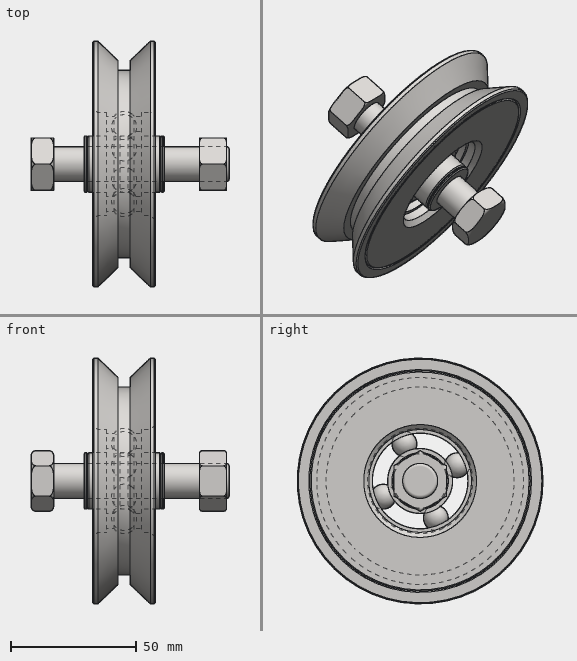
import cadquery as cq
import math


WHEEL_DIAMETER = 98
WHEEL_WIDTH = 25.0
EDGE_CHAMFER = 0.5
RIM_WIDTH = 2.1
FLANK_WIDTH = 8.0
FLANK_DROP = 7.7
GROOVE_BOTTOM_DIAMETER = 75.0
FACE_GROOVE_DIAMETER = 87.8
MOUTH_DIAMETER = 45.0
RECESS_DIAMETER = 41.0
OUTER_RACE_DIAMETER = 38.0

BEARING_WIDTH = 14.0
INNER_RACE_DIAMETER = 26.0
BALL_DIAMETER = 10.0
BALL_PITCH_DIAMETER = (INNER_RACE_DIAMETER + OUTER_RACE_DIAMETER) / 2
BALL_COUNT = 4
FIRST_BALL_ANGLE = 23

SLEEVE_DIAMETER = 22.5
SLEEVE_LENGTH = 32.0
SLEEVE_GROOVE_INSET = 1.5

SHANK_DIAMETER = 14.0
HEX_ACROSS_FLATS = 21.0
HEAD_OUTER_X = -37.0
HEAD_HEIGHT = 9.0
HEAD_CORNER_RADIUS = 2.0
BOLT_LENGTH = 79.0
TIP_RADIUS = 1.3
NUT_INNER_X = 30.0
NUT_HEIGHT = 10.9
NUT_CORNER_RADIUS = 1.3

HEX_ACROSS_CORNERS = HEX_ACROSS_FLATS / math.cos(math.radians(30))


def revolve_about_x(profile):
    """Turn an XY profile, with Y as the radius, into a solid of revolution."""
    return profile.revolve(360, (0, 0, 0), (1, 0, 0))


def cylinder(diameter, start_x, length):
    return cq.Workplane("YZ", origin=(start_x, 0, 0)).circle(diameter / 2).extrude(length)


def ball_track():
    """Ring swept by the balls, which cuts the groove of both races."""
    profile = cq.Workplane("XY").center(0, BALL_PITCH_DIAMETER / 2).circle(BALL_DIAMETER / 2)
    return profile.revolve(360, (0, -BALL_PITCH_DIAMETER / 2, 0), (1, -BALL_PITCH_DIAMETER / 2, 0))


def wheel_blank():
    """Rim with a V belt groove, bored to the outer race diameter."""
    half_width = WHEEL_WIDTH / 2
    rim_radius = WHEEL_DIAMETER / 2
    bore_radius = OUTER_RACE_DIAMETER / 2
    flank_top_x = half_width - RIM_WIDTH
    flank_bottom_x = flank_top_x - FLANK_WIDTH
    profile = (
        cq.Workplane("XY")
        .moveTo(-half_width, bore_radius)
        .lineTo(-half_width, rim_radius - EDGE_CHAMFER)
        .lineTo(-half_width + EDGE_CHAMFER, rim_radius)
        .lineTo(-flank_top_x, rim_radius)
        .lineTo(-flank_bottom_x, rim_radius - FLANK_DROP)
        .lineTo(-flank_bottom_x, GROOVE_BOTTOM_DIAMETER / 2)
        .lineTo(flank_bottom_x, GROOVE_BOTTOM_DIAMETER / 2)
        .lineTo(flank_bottom_x, rim_radius - FLANK_DROP)
        .lineTo(flank_top_x, rim_radius)
        .lineTo(half_width - EDGE_CHAMFER, rim_radius)
        .lineTo(half_width, rim_radius - EDGE_CHAMFER)
        .lineTo(half_width, bore_radius)
        .close()
    )
    return revolve_about_x(profile)


def bore_recess(side):
    """Conical mouth and cylindrical recess that lead to the bearing from one side face."""
    face_x = WHEEL_WIDTH / 2
    mouth_depth = (MOUTH_DIAMETER - RECESS_DIAMETER) / 2
    profile = (
        cq.Workplane("XY")
        .moveTo(side * face_x, 0)
        .lineTo(side * face_x, MOUTH_DIAMETER / 2)
        .lineTo(side * (face_x - mouth_depth), RECESS_DIAMETER / 2)
        .lineTo(side * BEARING_WIDTH / 2, RECESS_DIAMETER / 2)
        .lineTo(side * BEARING_WIDTH / 2, 0)
        .close()
    )
    return revolve_about_x(profile)


def face_groove(side):
    """Ring that cuts a 90 degree V-groove into one side face."""
    face_x = side * WHEEL_WIDTH / 2
    radius = FACE_GROOVE_DIAMETER / 2
    profile = cq.Workplane("XY").polyline([
        (face_x, radius - EDGE_CHAMFER),
        (face_x - side * EDGE_CHAMFER, radius),
        (face_x, radius + EDGE_CHAMFER),
    ]).close()
    return revolve_about_x(profile)


def make_wheel():
    wheel = wheel_blank()
    for side in (-1, 1):
        wheel = wheel.cut(bore_recess(side)).cut(face_groove(side))
    return wheel.cut(ball_track())


def sleeve_groove(side):
    """Ring that cuts a 90 degree V-groove near one end of the sleeve."""
    groove_x = side * (SLEEVE_LENGTH / 2 - SLEEVE_GROOVE_INSET)
    radius = SLEEVE_DIAMETER / 2
    profile = cq.Workplane("XY").polyline([
        (groove_x - EDGE_CHAMFER, radius),
        (groove_x, radius - EDGE_CHAMFER),
        (groove_x + EDGE_CHAMFER, radius),
    ]).close()
    return revolve_about_x(profile)


def make_hub_sleeve():
    """Sleeve around the bolt that carries the inner race."""
    sleeve = cylinder(SLEEVE_DIAMETER, -SLEEVE_LENGTH / 2, SLEEVE_LENGTH).edges().chamfer(EDGE_CHAMFER)
    for side in (-1, 1):
        sleeve = sleeve.cut(sleeve_groove(side))
    race = cylinder(INNER_RACE_DIAMETER, -BEARING_WIDTH / 2, BEARING_WIDTH).cut(ball_track())
    bore = cylinder(SHANK_DIAMETER, -SLEEVE_LENGTH / 2, SLEEVE_LENGTH)
    return sleeve.union(race).cut(bore)


def make_ball(angle):
    """Ball on the pitch circle, at an angle in degrees from +Z toward -Y."""
    pitch_radius = BALL_PITCH_DIAMETER / 2
    y = -pitch_radius * math.sin(math.radians(angle))
    z = pitch_radius * math.cos(math.radians(angle))
    return cq.Workplane("XY").sphere(BALL_DIAMETER / 2).translate((0, y, z))


def rounded_hex(start_x, height, corner_radius):
    """Hexagonal prism with corners up and down, rounded at the corners of both ends."""
    prism = cq.Workplane("YZ", origin=(start_x, 0, 0)).transformed(rotate=(0, 0, 90))
    prism = prism.polygon(6, HEX_ACROSS_CORNERS).extrude(height)
    envelope = cylinder(HEX_ACROSS_CORNERS, start_x, height).edges().fillet(corner_radius)
    return prism.intersect(envelope)


def make_bolt():
    head = rounded_hex(HEAD_OUTER_X, HEAD_HEIGHT, HEAD_CORNER_RADIUS)
    shank_x = HEAD_OUTER_X + HEAD_HEIGHT
    shank = cylinder(SHANK_DIAMETER, shank_x, BOLT_LENGTH - HEAD_HEIGHT)
    return head.union(shank.faces(">X").edges().fillet(TIP_RADIUS))


def make_nut():
    nut = rounded_hex(NUT_INNER_X, NUT_HEIGHT, NUT_CORNER_RADIUS)
    return nut.cut(cylinder(SHANK_DIAMETER, NUT_INNER_X, NUT_HEIGHT))


wheel = make_wheel()
hub_sleeve = make_hub_sleeve()
balls = [make_ball(FIRST_BALL_ANGLE + i * 360 / BALL_COUNT) for i in range(BALL_COUNT)]
bolt = make_bolt()
nut = make_nut()

result = cq.Compound.makeCompound([
    wheel.val(),
    hub_sleeve.val(),
    *[ball.val() for ball in balls],
    bolt.val(),
    nut.val(),
])